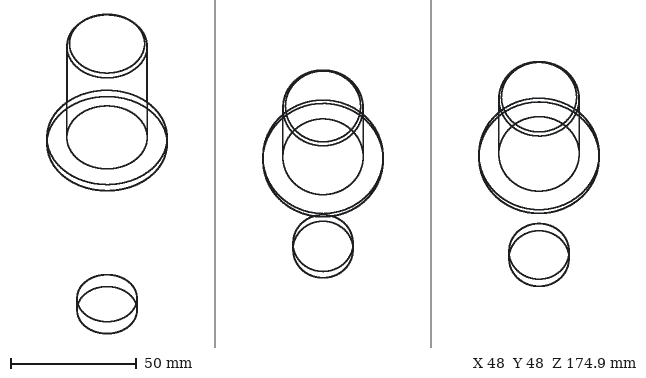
import cadquery as cq

total_height = 174.9

flange_diameter = 48.0
flange_thickness = 4.0
pin_diameter = 32.0
pin_height = 64.0
chamfer_height = 1.7
chamfer_inset = 1.0

plug_diameter = 24.0
plug_rim_height = 7.7
plug_cone_height = 4.4


def make_pin():
    """Revolve the flanged pin, with its chamfered top edge, about Z."""
    pin_radius = pin_diameter / 2
    flange_radius = flange_diameter / 2
    bottom = total_height - pin_height
    flange_top = bottom + flange_thickness
    return (
        cq.Workplane("XZ")
        .moveTo(0, bottom)
        .lineTo(flange_radius, bottom)
        .lineTo(flange_radius, flange_top)
        .lineTo(pin_radius, flange_top)
        .lineTo(pin_radius, total_height - chamfer_height)
        .lineTo(pin_radius - chamfer_inset, total_height)
        .lineTo(0, total_height)
        .close()
        .revolve(360, (0, 0, 0), (0, 1, 0))
    )


def make_plug():
    """Revolve the short plug, with its point facing down, about Z."""
    plug_radius = plug_diameter / 2
    plug_top = plug_cone_height + plug_rim_height
    return (
        cq.Workplane("XZ")
        .moveTo(0, 0)
        .lineTo(plug_radius, plug_cone_height)
        .lineTo(plug_radius, plug_top)
        .lineTo(0, plug_top)
        .close()
        .revolve(360, (0, 0, 0), (0, 1, 0))
    )


pin = make_pin()
plug = make_plug()
result = cq.Compound.makeCompound([pin.val(), plug.val()])